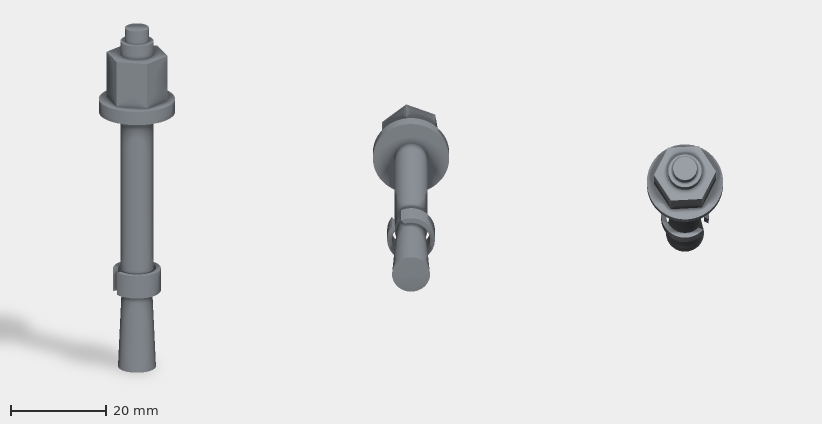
import cadquery as cq

total_length = 76.0
bottom_z = -total_length / 2
clip_height = 5.0
cone_height = 22.05
washer_height = 3.0
nut_height = 10.0
thread_end_height = 3.0
tip_height = 3.0

rod_diameter = 7.0
tip_diameter = 5.0
cone_bottom_diameter = 8.0
cone_top_diameter = 6.0
washer_diameter = 16.0
nut_corner_diameter = 13.1
clip_outer_diameter = 10.0
clip_inner_diameter = 8.0
clip_gap = 2.5

cone_top_z = bottom_z + cone_height
tip_z = total_length / 2 - tip_height
nut_top_z = tip_z - thread_end_height
nut_bottom_z = nut_top_z - nut_height
washer_bottom_z = nut_bottom_z - washer_height


def cylinder(diameter, base_z, height):
    return cq.Workplane("XY").workplane(offset=base_z).circle(diameter / 2).extrude(height)


def make_expansion_cone():
    """Cone that narrows upward to the neck where the rod begins."""
    profile = [
        (0, bottom_z),
        (cone_bottom_diameter / 2, bottom_z),
        (cone_top_diameter / 2, cone_top_z),
        (0, cone_top_z),
    ]
    return cq.Workplane("XZ").polyline(profile).close().revolve(360, (0, 0), (0, 1))


def make_hex_nut():
    """Hexagon with two corners on the X axis."""
    return (
        cq.Workplane("XY")
        .workplane(offset=nut_bottom_z)
        .polygon(6, nut_corner_diameter)
        .extrude(nut_height)
    )


def make_bolt():
    """Anchor bolt with its cone, rod, washer, nut and reduced tip."""
    rod = cylinder(rod_diameter, cone_top_z, tip_z - cone_top_z)
    washer = cylinder(washer_diameter, washer_bottom_z, washer_height)
    tip = cylinder(tip_diameter, tip_z, tip_height)
    return make_expansion_cone().union(rod).union(washer).union(make_hex_nut()).union(tip)


def make_clip():
    """Loose ring around the neck, split on its -Y side."""
    clip_bottom_z = cone_top_z - clip_height
    ring = cylinder(clip_outer_diameter, clip_bottom_z, clip_height)
    bore = cylinder(clip_inner_diameter, clip_bottom_z, clip_height)
    split = (
        cq.Workplane("XY")
        .workplane(offset=clip_bottom_z)
        .center(0, -clip_outer_diameter / 2)
        .rect(clip_gap, clip_outer_diameter)
        .extrude(clip_height)
    )
    return ring.cut(bore).cut(split)


bolt = make_bolt()
clip = make_clip()

result = cq.Compound.makeCompound([bolt.val(), clip.val()])